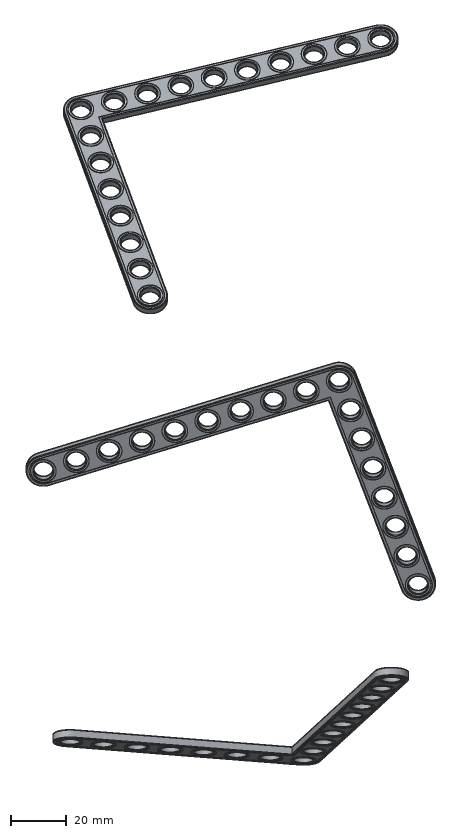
import cadquery as cq

thickness = 3.1
pitch = 12.5
arm_width = 12.5
holes_x = 8
holes_y = 10
hole_diameter = 7.0
rim_width = 1.1
recess_depth = 0.2
edge_chamfer = 0.3

ring_diameter = hole_diameter + 2 * rim_width
arm_radius = arm_width / 2
length_x = (holes_x - 1) * pitch
length_y = (holes_y - 1) * pitch

hole_points = [(i * pitch, 0) for i in range(holes_x)]
hole_points += [(0, i * pitch) for i in range(1, holes_y)]


def angle_outline(radius, base, height):
    """L-shaped prism with round arm ends and a round outer corner."""
    return (
        cq.Workplane("XY")
        .workplane(offset=base)
        .moveTo(0, -radius)
        .lineTo(length_x, -radius)
        .threePointArc((length_x + radius, 0), (length_x, radius))
        .lineTo(radius, radius)
        .lineTo(radius, length_y)
        .threePointArc((0, length_y + radius), (-radius, length_y))
        .lineTo(-radius, 0)
        .radiusArc((0, -radius), -radius)
        .close()
        .extrude(height)
    )


def cylinders(diameter, base, height):
    """Equal cylinders on every hole centre."""
    return (
        cq.Workplane("XY")
        .workplane(offset=base)
        .pushPoints(hole_points)
        .circle(diameter / 2)
        .extrude(height)
    )


def recess(base):
    """Shallow pocket inside the rim, leaving a raised ring around each hole."""
    pocket = angle_outline(arm_radius - rim_width, base, recess_depth)
    return pocket.cut(cylinders(ring_diameter, base, recess_depth))


plate = angle_outline(arm_radius, 0, thickness)
plate = plate.cut(cylinders(hole_diameter, 0, thickness))
plate = plate.faces("<Z or >Z").edges().chamfer(edge_chamfer)

plate = plate.cut(recess(thickness - recess_depth))
result = plate.cut(recess(0))